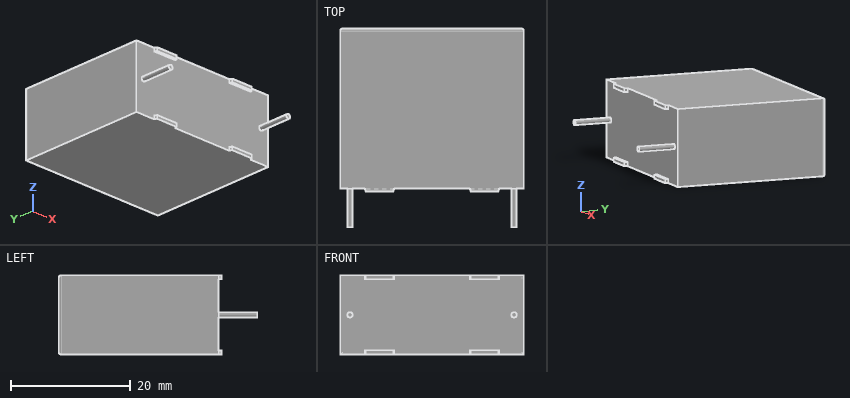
import cadquery as cq

WIDTH = 30.8
TOTAL_LENGTH = 33.3
HEIGHT = 13.3

LEAD_LENGTH = 6.5
LEAD_DIAMETER = 0.9
LEAD_PITCH = 27.47

CASE_LENGTH = TOTAL_LENGTH - LEAD_LENGTH
BACK_FILLET = 0.45

FOOT_PITCH = 17.58
FOOT_BASE_WIDTH = 5.0
FOOT_TIP_WIDTH = 4.6
FOOT_PROJECTION = 0.5
FOOT_THICKNESS = 0.7


def make_foot(center_x, bottom_z):
    """Tapered foot standing on the lead face (y = 0) and pointing to -Y."""
    half_base = FOOT_BASE_WIDTH / 2
    half_tip = FOOT_TIP_WIDTH / 2
    return (
        cq.Workplane("XY")
        .workplane(offset=bottom_z)
        .polyline([
            (center_x - half_base, 0),
            (center_x - half_tip, -FOOT_PROJECTION),
            (center_x + half_tip, -FOOT_PROJECTION),
            (center_x + half_base, 0),
        ])
        .close()
        .extrude(FOOT_THICKNESS)
    )


def make_case():
    """Rectangular case with a rounded back rim and four standoff feet."""
    case = (
        cq.Workplane("XY")
        .box(WIDTH, CASE_LENGTH, HEIGHT, centered=(True, False, True))
        .faces(">Y")
        .edges()
        .fillet(BACK_FILLET)
    )
    for center_x in (-FOOT_PITCH / 2, FOOT_PITCH / 2):
        for bottom_z in (-HEIGHT / 2, HEIGHT / 2 - FOOT_THICKNESS):
            case = case.union(make_foot(center_x, bottom_z))
    return case


def make_lead(center_x):
    """Round wire lead standing on the lead face and pointing to -Y."""
    return (
        cq.Workplane("XZ")
        .center(center_x, 0)
        .circle(LEAD_DIAMETER / 2)
        .extrude(LEAD_LENGTH)
    )


case = make_case()
leads = [make_lead(side * LEAD_PITCH / 2) for side in (-1, 1)]

result = cq.Compound.makeCompound([case.val(), *[lead.val() for lead in leads]])